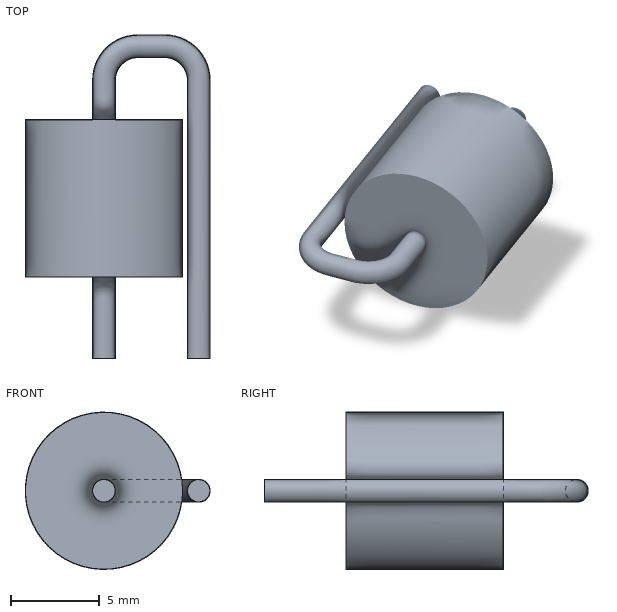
import cadquery as cq

body_diameter = 8.85
body_length = 8.85
lead_diameter = 1.27
lead_spacing = 5.34
lead_end_to_body = 4.59
overall_length = 18.21

bend_radius = 1.5 * lead_diameter
bend_start = overall_length - lead_diameter / 2 - bend_radius
bend_top = bend_start + bend_radius


def make_body():
    """Cylinder whose axis runs along Y."""
    start_plane = cq.Workplane("XZ", origin=(0, lead_end_to_body, 0))
    return start_plane.circle(body_diameter / 2).extrude(-body_length)


def make_lead():
    """Round wire through the body, bent back alongside it."""
    path = (
        cq.Workplane("XY")
        .lineTo(0, bend_start)
        .radiusArc((bend_radius, bend_top), bend_radius)
        .lineTo(lead_spacing - bend_radius, bend_top)
        .radiusArc((lead_spacing, bend_start), bend_radius)
        .lineTo(lead_spacing, 0)
    )
    return cq.Workplane("XZ").circle(lead_diameter / 2).sweep(path)


result = make_body().union(make_lead())